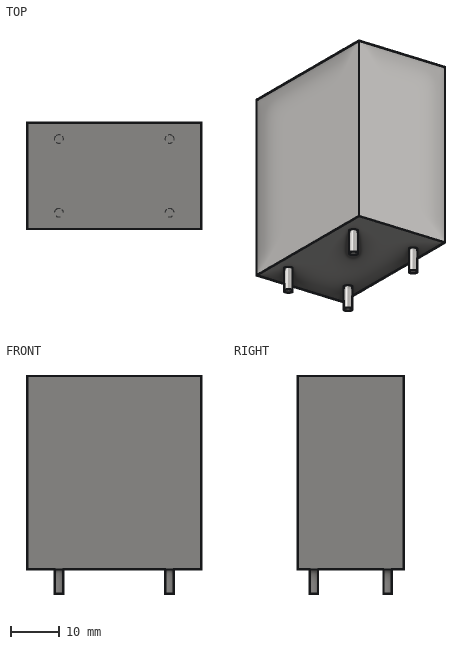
import cadquery as cq

housing_length = 36.0
housing_width = 22.0
overall_height = 45.1

pin_diameter = 1.8
pin_length = 5.1
pin_spacing_x = 22.85
pin_spacing_y = 15.25

housing_height = overall_height - pin_length


def make_housing():
    """Plain rectangular block with its bottom face on Z = 0."""
    return cq.Workplane("XY").box(
        housing_length, housing_width, housing_height, centered=(True, True, False)
    )


def make_pin(x, y):
    """Round pin hanging from the bottom face of the housing."""
    return cq.Workplane("XY").center(x, y).circle(pin_diameter / 2).extrude(-pin_length)


housing = make_housing()

pins = []
for side_x in (-1, 1):
    for side_y in (-1, 1):
        pin = make_pin(side_x * pin_spacing_x / 2, side_y * pin_spacing_y / 2)
        pins.append(pin.val())

result = cq.Compound.makeCompound([housing.val(), *pins])